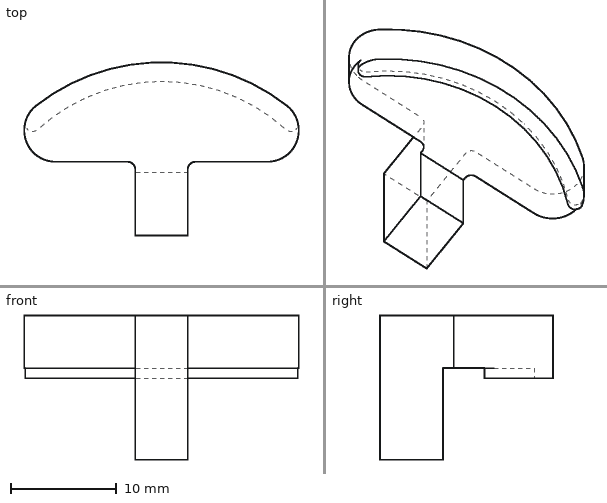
import cadquery as cq
import math

width = 26.0
plate_depth = 9.45
plate_thickness = 5.0
corner_radius = 3.0

stem_width = 5.0
stem_length = 6.97
post_depth = 5.98
post_height = 13.68
root_fillet = 0.7

lip_height = 1.0
lip_end_radius = 0.7
lip_end_rise = 0.62

corner_x = width / 2 - corner_radius
corner_y = corner_radius
apex_to_corner = plate_depth - corner_y
dome_radius = (corner_x**2 + apex_to_corner**2 - corner_radius**2) / (2 * (apex_to_corner - corner_radius))
dome_y = plate_depth - dome_radius

end_offset = corner_radius - lip_end_radius
lip_end_x = corner_x + math.sqrt(end_offset**2 - lip_end_rise**2)
lip_end_y = corner_y + lip_end_rise

lip_center_distance = math.hypot(lip_end_x, lip_end_y - dome_y)
lip_inner_radius = lip_center_distance - lip_end_radius
wall_end_x = lip_end_x * lip_inner_radius / lip_center_distance
wall_end_y = dome_y + (lip_end_y - dome_y) * lip_inner_radius / lip_center_distance


def plate_prism(height):
    """Domed plate outline, extruded downward from the top face."""
    reach = dome_radius / (dome_radius - corner_radius)
    tangent_x = corner_x * reach
    tangent_y = dome_y + (corner_y - dome_y) * reach
    return (
        cq.Workplane("XY")
        .moveTo(-corner_x, 0)
        .lineTo(corner_x, 0)
        .threePointArc((width / 2, corner_y), (tangent_x, tangent_y))
        .threePointArc((0, plate_depth), (-tangent_x, tangent_y))
        .threePointArc((-width / 2, corner_y), (-corner_x, 0))
        .close()
        .extrude(-height)
    )


def box_below_top(size_x, y_front, y_back, height):
    """Box centered on X, hanging from the top face."""
    return (
        cq.Workplane("XY")
        .center(0, (y_front + y_back) / 2)
        .rect(size_x, y_back - y_front)
        .extrude(-height)
    )


def lip_prism(height):
    """Crescent between the dome and the inner wall, with both ends rounded."""
    touch_scale = corner_radius / end_offset
    touch_x = corner_x + (lip_end_x - corner_x) * touch_scale
    touch_y = corner_y + lip_end_rise * touch_scale
    end_bottom = lip_end_y - lip_end_radius
    crescent = (
        cq.Workplane("XY")
        .moveTo(-wall_end_x, wall_end_y)
        .threePointArc((0, dome_y + lip_inner_radius), (wall_end_x, wall_end_y))
        .threePointArc((lip_end_x, end_bottom), (touch_x, touch_y))
        .lineTo(width / 2, plate_depth)
        .lineTo(-width / 2, plate_depth)
        .lineTo(-touch_x, touch_y)
        .threePointArc((-lip_end_x, end_bottom), (-wall_end_x, wall_end_y))
        .close()
        .extrude(-height)
    )
    return crescent.intersect(plate_prism(height))


stem = box_below_top(stem_width, -stem_length, corner_y, plate_thickness)
handle = plate_prism(plate_thickness).union(stem)
root_edges = cq.selectors.BoxSelector(
    (-stem_width, -root_fillet, -plate_thickness),
    (stem_width, root_fillet, 0),
)
handle = handle.edges("|Z").edges(root_edges).fillet(root_fillet)

post = box_below_top(stem_width, -stem_length, post_depth - stem_length, post_height)
lip = lip_prism(plate_thickness + lip_height)

result = handle.union(post).union(lip)